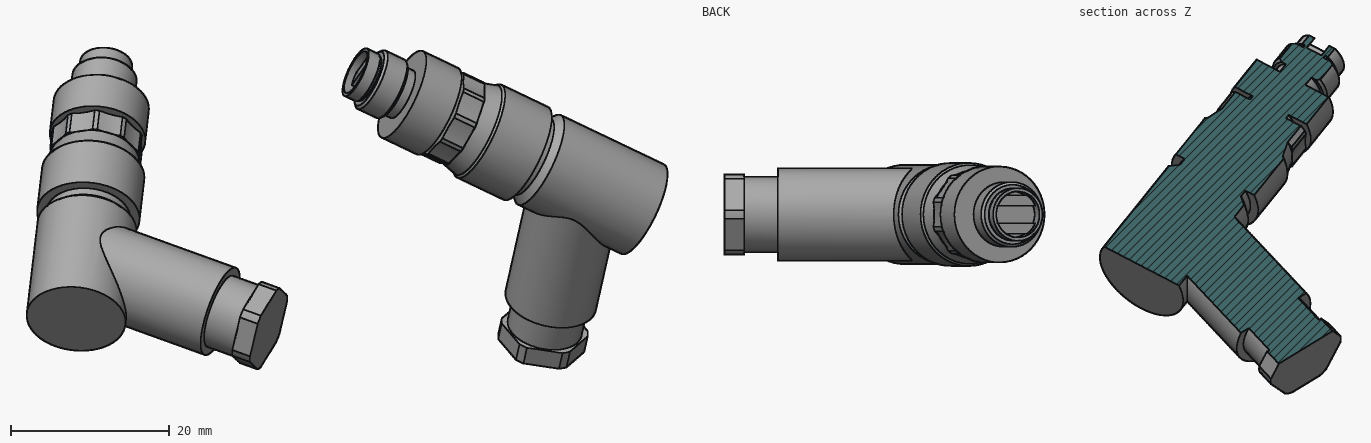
import cadquery as cq
import math

PLUG_TILT = 20.0

HOUSING_START = -9.42
HOUSING_END = 5.65
HOUSING_RADIUS = 6.25
GROOVE_START = 6.6
GROOVE_RADIUS = 5.35
SLEEVE_START = 7.65
SLEEVE_CHAMFER_START = 14.45
SLEEVE_RADIUS = 13.0 / 2
SHOULDER_START = 14.75
SHOULDER_BASE_RADIUS = 6.23
SHOULDER_END = 16.93
SHOULDER_TOP_RADIUS = 5.63

GRIP_END = 20.0
GRIP_RADIUS = 5.9
SCALLOP_COUNT = 10
SCALLOP_RADIUS = 8.53
SCALLOP_FLOOR = 5.55
GRIP_NECK_RADIUS = 3.85

RING_START = 20.55
RING_END = 25.7
RING_RADIUS = 6.05
NOSE_NECK_RADIUS = 3.33
COLLAR_START = 27.05
COLLAR_END = 30.55
COLLAR_RADIUS = 4.1
COLLAR_CHAMFER = 0.35
NOSE_GROOVE_END = 30.87
NOSE_GROOVE_RADIUS = 3.1
NOSE_END = 32.5
NOSE_RADIUS = 3.33

SOCKET_RADIUS = 2.9
SOCKET_DEPTH = 1.8
BAR_RECESS = 1.0
BAR_OFFSET = 1.8
BAR_WIDTH = 1.32

BRANCH_END = 19.15
BRANCH_RADIUS = 5.85
CABLE_NECK_END = 23.4
CABLE_NECK_RADIUS = 4.78
NUT_END = 25.9
NUT_SIDES = 6
NUT_ACROSS_FLATS = 10.1
NUT_CORNER_DIAMETER = 11.1


def plug_turning():
    """Revolved plug, upright along Z."""
    profile = [
        (0, HOUSING_START),
        (HOUSING_RADIUS, HOUSING_START),
        (HOUSING_RADIUS, HOUSING_END),
        (GROOVE_RADIUS, GROOVE_START),
        (GROOVE_RADIUS, SLEEVE_START),
        (SLEEVE_RADIUS, SLEEVE_START),
        (SLEEVE_RADIUS, SLEEVE_CHAMFER_START),
        (SHOULDER_BASE_RADIUS, SHOULDER_START),
        (SHOULDER_TOP_RADIUS, SHOULDER_END),
        (GRIP_NECK_RADIUS, SHOULDER_END),
        (GRIP_NECK_RADIUS, RING_START),
        (RING_RADIUS, RING_START),
        (RING_RADIUS, RING_END),
        (NOSE_NECK_RADIUS, RING_END),
        (NOSE_NECK_RADIUS, COLLAR_START),
        (COLLAR_RADIUS - COLLAR_CHAMFER, COLLAR_START),
        (COLLAR_RADIUS, COLLAR_START + COLLAR_CHAMFER),
        (COLLAR_RADIUS, COLLAR_END - COLLAR_CHAMFER),
        (COLLAR_RADIUS - COLLAR_CHAMFER, COLLAR_END),
        (NOSE_GROOVE_RADIUS, COLLAR_END),
        (NOSE_GROOVE_RADIUS, NOSE_GROOVE_END),
        (NOSE_RADIUS, NOSE_GROOVE_END),
        (NOSE_RADIUS, NOSE_END),
        (0, NOSE_END),
    ]
    return cq.Workplane("XZ").polyline(profile).close().revolve(360, (0, 0), (0, 1))


def grip_band():
    """Round band with concave scallops, leaving narrow ribs between them."""
    height = GRIP_END - SHOULDER_END
    cutters = (
        cq.Workplane("XY")
        .polarArray(SCALLOP_FLOOR + SCALLOP_RADIUS, 0, 360, SCALLOP_COUNT)
        .circle(SCALLOP_RADIUS)
        .extrude(height, combine=False)
    )
    band = cq.Workplane("XY").circle(GRIP_RADIUS).extrude(height)
    for cutter in cutters.vals():
        band = band.cut(cq.Workplane(cutter))
    return band.translate((0, 0, SHOULDER_END))


def socket():
    """Open bore of the nose, less the two bars left standing across it."""
    floor = NOSE_END - SOCKET_DEPTH
    bore = cq.Workplane("XY").workplane(offset=floor).circle(SOCKET_RADIUS).extrude(SOCKET_DEPTH)
    bars = (
        cq.Workplane("XY")
        .workplane(offset=floor)
        .pushPoints([(0, BAR_OFFSET), (0, -BAR_OFFSET)])
        .rect(2 * SOCKET_RADIUS, BAR_WIDTH)
        .extrude(SOCKET_DEPTH - BAR_RECESS)
    )
    return bore.cut(bars)


def cable_branch():
    """Cable outlet along +X, ending in a hexagonal nut with turned corners."""
    branch = cq.Workplane("YZ").circle(BRANCH_RADIUS).extrude(BRANCH_END)
    neck = cq.Workplane("YZ").circle(CABLE_NECK_RADIUS).extrude(CABLE_NECK_END)
    nut_length = NUT_END - CABLE_NECK_END
    sharp_corner_diameter = NUT_ACROSS_FLATS / math.cos(math.pi / NUT_SIDES)
    nut_plane = cq.Workplane("YZ").workplane(offset=CABLE_NECK_END)
    nut = nut_plane.polygon(NUT_SIDES, sharp_corner_diameter).extrude(nut_length)
    nut = nut.intersect(nut_plane.circle(NUT_CORNER_DIAMETER / 2).extrude(nut_length))
    return branch.union(neck).union(nut)


plug = plug_turning().union(grip_band()).cut(socket())
plug = plug.rotate((0, 0, 0), (1, 0, 0), -90).rotate((0, 0, 0), (0, 0, 1), PLUG_TILT)

result = plug.union(cable_branch())